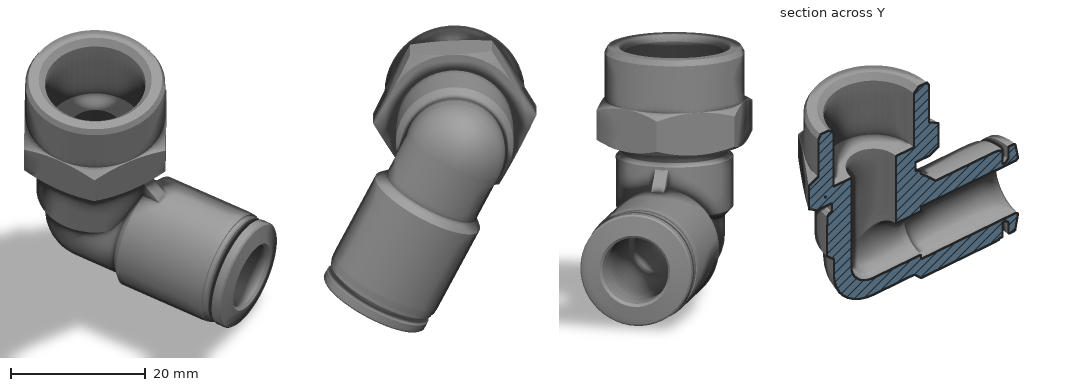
import cadquery as cq
import math


elbow_radius = 14.95 / 2
collar_radius = 17.5 / 2
shoulder = collar_radius - elbow_radius

overall_height = 37.25
port_top = overall_height - collar_radius
port_radius = 20.8 / 2
port_chamfer_width = 0.45
port_chamfer_height = 0.82
hex_bottom = 14.1
hex_top = 20.55
hex_flats = 21.0
hex_corner_radius = hex_flats / math.sqrt(3)
hex_chamfer_angle = 30
neck_radius = 15.75 / 2
port_collar_bottom = 4.35
port_collar_top = 12.5
port_collar_chamfer = 0.55

overall_length = 39.12
tube_collar_start = 8.85
tube_collar_end = 22.38
end_ring_radius = 8.65
end_ring_end = 23.4
lip_chamfer = 0.2
lip_end = 24.15
release_neck_radius = 11.4 / 2
release_flare_start = 24.6
release_flare = 0.45
flange_radius = 16.9 / 2
flange_start = release_flare_start + release_flare
flange_edge_chamfer = 0.25
flange_rim_end = 26.25
tube_end = overall_length - hex_corner_radius
end_face_radius = 5.4

passage_radius = 8.3 / 2
port_bore_radius = elbow_radius
port_bore_floor = 17.2
port_bore_mouth_radius = 16.8 / 2
tube_bore_radius = 10.0 / 2

rib_reach = 11.58
rib_thickness = 1.95


def turned(profile):
    """Solid of revolution about Z from (radius, height) points, closed along the axis."""
    points = [(0, profile[0][1])] + profile + [(0, profile[-1][1])]
    return cq.Workplane("XZ").polyline(points).close().revolve(360, (0, 0), (0, 1))


def along_tube(upright):
    """Turn a solid from the Z axis onto the X axis."""
    return upright.rotate((0, 0, 0), (0, 1, 0), 90)


def port_body():
    return turned([
        (elbow_radius, 0),
        (elbow_radius, port_collar_bottom - shoulder),
        (collar_radius, port_collar_bottom),
        (collar_radius, port_collar_top - port_collar_chamfer),
        (collar_radius - port_collar_chamfer, port_collar_top),
        (neck_radius, port_collar_top),
        (neck_radius, hex_top),
        (port_radius, hex_top),
        (port_radius, port_top - port_chamfer_height),
        (port_radius - port_chamfer_width, port_top),
    ])


def hexagon():
    """Nut with corners on the X axis, its corners bevelled at both ends."""
    bevel_radius = hex_flats / 2
    bevel_height = (hex_corner_radius - bevel_radius) * math.tan(math.radians(hex_chamfer_angle))
    prism = (
        cq.Workplane("XY", origin=(0, 0, hex_bottom))
        .polygon(6, 2 * hex_corner_radius)
        .extrude(hex_top - hex_bottom)
    )
    bevel = turned([
        (bevel_radius, hex_bottom),
        (hex_corner_radius, hex_bottom + bevel_height),
        (hex_corner_radius, hex_top - bevel_height),
        (bevel_radius, hex_top),
    ])
    return prism.intersect(bevel)


def tube_body():
    return along_tube(turned([
        (elbow_radius, 0),
        (elbow_radius, tube_collar_start - shoulder),
        (collar_radius, tube_collar_start),
        (collar_radius, tube_collar_end),
        (end_ring_radius, end_ring_end),
        (flange_radius, end_ring_end),
        (flange_radius, lip_end - lip_chamfer),
        (flange_radius - lip_chamfer, lip_end),
        (release_neck_radius, lip_end),
        (release_neck_radius, release_flare_start),
        (release_neck_radius + release_flare, flange_start),
        (flange_radius, flange_start),
        (flange_radius, flange_rim_end),
        (flange_radius - flange_edge_chamfer, flange_rim_end + flange_edge_chamfer),
        (end_face_radius, tube_end),
    ]))


def rib():
    outline = [
        (0, 0),
        (0, rib_reach),
        (collar_radius, rib_reach),
        (rib_reach, collar_radius),
        (rib_reach, 0),
    ]
    return cq.Workplane("XZ").polyline(outline).close().extrude(rib_thickness / 2, both=True)


def port_bore():
    mouth_depth = port_bore_mouth_radius - port_bore_radius
    return turned([
        (passage_radius, 0),
        (passage_radius, port_bore_floor),
        (port_bore_radius, port_bore_floor),
        (port_bore_radius, port_top - mouth_depth),
        (port_bore_mouth_radius, port_top),
    ])


def tube_bore():
    mouth_depth = end_face_radius - tube_bore_radius
    return along_tube(turned([
        (passage_radius, 0),
        (passage_radius, tube_collar_start),
        (tube_bore_radius, tube_collar_start),
        (tube_bore_radius, tube_end - mouth_depth),
        (end_face_radius, tube_end),
    ]))


body = (
    cq.Workplane("XY").sphere(elbow_radius)
    .union(port_body())
    .union(tube_body())
    .union(hexagon())
    .union(rib())
)
passage_bend = cq.Workplane("XY").sphere(passage_radius)
result = body.cut(passage_bend).cut(port_bore()).cut(tube_bore())